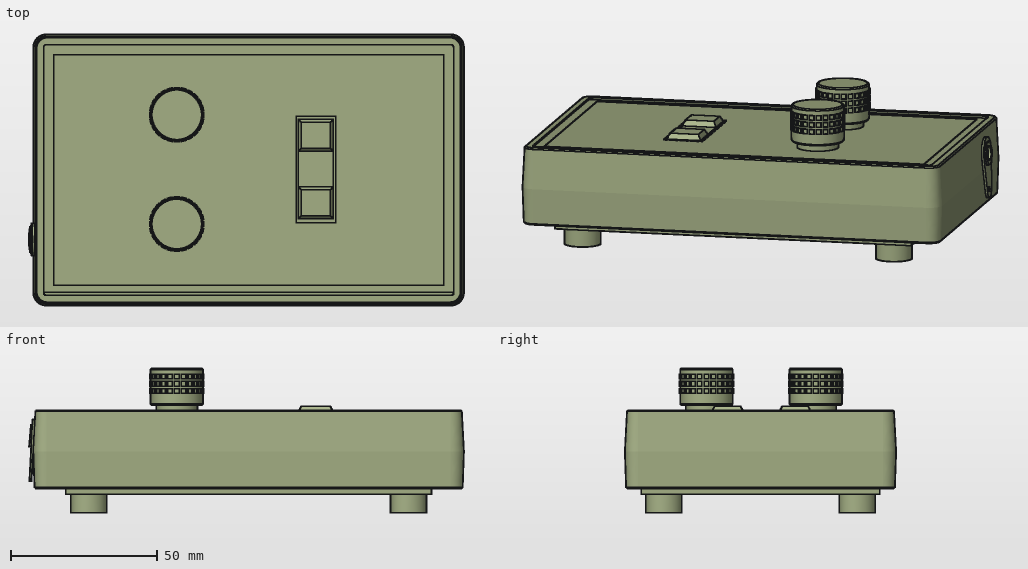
import cadquery as cq
import math

CASE_LENGTH = 147.5
CASE_WIDTH = 92.94
CASE_CORNER_RADIUS = 4.6
UPPER_HEIGHT = 14.25
LOWER_HEIGHT = 12.65
UPPER_DRAFT = 3.0
LOWER_DRAFT = 2.0
EDGE_CHAMFER = 0.5

RIM_INSET = 3.55
PANEL_RECESS_DEPTH = 0.5
PANEL_CORNER_RADIUS = CASE_CORNER_RADIUS - RIM_INSET
PANEL_GAP = 1.0
PANEL_GAP_DEPTH = 0.5
LABEL_INSET = 7.0
LABEL_DEPTH = 0.1

BASE_LENGTH = 125.3
BASE_WIDTH = 81.8
BASE_THICKNESS = 2.0
FOOT_DIAMETER = 12.45
FOOT_HEIGHT = 6.28
FOOT_SPACING_X = 109.5
FOOT_SPACING_Y = 66.2

SWITCH_X = 23.0
SWITCH_Y = 0.1
BEZEL_LENGTH = 36.5
BEZEL_WIDTH = 13.5
BEZEL_DEPTH = 0.3
ROCKER_LENGTH = 34.0
ROCKER_OFFSET_Y = 0.2
ROCKER_WIDTH = 12.0
PAD_LENGTH = 10.9
PAD_SLOPE = 1.0
PAD_RISE = 1.3

JACK_Y = -23.8
JACK_Z = 5.4
TAG_BIG_RADIUS = 5.6
TAG_SMALL_RADIUS = 3.0
TAG_LENGTH = 12.6
TAG_THICKNESS = 0.8
TAG_HOLE_DIAMETER = 1.52
NUT_ACROSS_FLATS = 7.6
NUT_THICKNESS = 0.6
NUT_TILT = 2.0
JACK_BORE_DIAMETER = 4.86
JACK_BORE_DEPTH = 1.0

KNOB_X = -24.6
KNOB_Y_POSITIONS = (18.9, -18.5)
KNOB_DIAMETER = 18.03
KNOB_TOP_Z = 28.6
KNOB_BOTTOM_Z = 15.85
KNOB_CHAMFER = 0.5
COLLAR_DIAMETER = 14.22
KNURL_HEIGHT = 0.3
KNURL_BOTTOM_Z = 20.0
KNURL_ROWS = 3
KNURL_COLUMNS = 24
KNURL_ROW_PITCH = 2.45
TOOTH_SIZE = 1.6

panel_length = CASE_LENGTH - 2 * RIM_INSET
panel_width = CASE_WIDTH - 2 * RIM_INSET
panel_z = UPPER_HEIGHT - PANEL_RECESS_DEPTH
label_z = panel_z - LABEL_DEPTH


def box_on(z, length, width, height):
    return cq.Workplane("XY").workplane(offset=z).rect(length, width).extrude(height)


def case_half(height, draft):
    outline = (
        cq.Sketch()
        .rect(CASE_LENGTH, CASE_WIDTH)
        .vertices()
        .fillet(CASE_CORNER_RADIUS)
    )
    half = cq.Workplane("XY").placeSketch(outline).extrude(height, taper=draft)
    return half.faces(">Z").chamfer(EDGE_CHAMFER)


def make_shell():
    upper = case_half(UPPER_HEIGHT, UPPER_DRAFT)
    lower = case_half(LOWER_HEIGHT, LOWER_DRAFT).mirror("XY")
    return upper.union(lower)


def cut_panel(case):
    recess = box_on(panel_z, panel_length, panel_width, PANEL_RECESS_DEPTH)
    recess = recess.edges("|Z").fillet(PANEL_CORNER_RADIUS)
    gap = box_on(panel_z - PANEL_GAP_DEPTH, panel_length, PANEL_GAP, PANEL_GAP_DEPTH)
    gap = gap.translate((0, (PANEL_GAP - panel_width) / 2, 0))
    label = box_on(label_z, CASE_LENGTH - 2 * LABEL_INSET, CASE_WIDTH - 2 * LABEL_INSET, LABEL_DEPTH)
    return case.cut(recess).cut(gap).cut(label)


def add_base(case):
    base = box_on(-LOWER_HEIGHT - BASE_THICKNESS, BASE_LENGTH, BASE_WIDTH, BASE_THICKNESS)
    feet = (
        cq.Workplane("XY")
        .workplane(offset=-LOWER_HEIGHT - BASE_THICKNESS)
        .rect(FOOT_SPACING_X, FOOT_SPACING_Y, forConstruction=True)
        .vertices()
        .circle(FOOT_DIAMETER / 2)
        .extrude(-FOOT_HEIGHT)
    )
    return case.union(base).union(feet)


def add_switch(case):
    bezel_z = label_z - BEZEL_DEPTH
    bezel = box_on(bezel_z, BEZEL_WIDTH, BEZEL_LENGTH, BEZEL_DEPTH)
    rocker = box_on(bezel_z, ROCKER_WIDTH, ROCKER_LENGTH, BEZEL_DEPTH)
    pad_height = UPPER_HEIGHT + PAD_RISE - label_z
    for side in (-1, 1):
        pad = (
            cq.Workplane("XY")
            .workplane(offset=label_z)
            .center(0, side * (ROCKER_LENGTH - PAD_LENGTH) / 2)
            .rect(ROCKER_WIDTH, PAD_LENGTH)
            .workplane(offset=pad_height)
            .rect(ROCKER_WIDTH - 2 * PAD_SLOPE, PAD_LENGTH - 2 * PAD_SLOPE)
            .loft()
        )
        rocker = rocker.union(pad)
    bezel = bezel.translate((SWITCH_X, SWITCH_Y, 0))
    rocker = rocker.translate((SWITCH_X, SWITCH_Y + ROCKER_OFFSET_Y, 0))
    return case.cut(bezel).union(rocker)


def jack_plane(origin, tilt):
    lean = math.radians(tilt)
    return cq.Plane(origin=origin, xDir=(0, -1, 0), normal=(-math.cos(lean), 0, math.sin(lean)))


def make_tag(wall):
    sine = (TAG_BIG_RADIUS - TAG_SMALL_RADIUS) / TAG_LENGTH
    cosine = math.sqrt(1 - sine**2)
    big_x = TAG_BIG_RADIUS * cosine
    big_y = -TAG_BIG_RADIUS * sine
    small_x = TAG_SMALL_RADIUS * cosine
    small_y = -TAG_LENGTH - TAG_SMALL_RADIUS * sine
    tag = (
        cq.Workplane(wall)
        .moveTo(-big_x, big_y)
        .threePointArc((0, TAG_BIG_RADIUS), (big_x, big_y))
        .lineTo(small_x, small_y)
        .threePointArc((0, -TAG_LENGTH - TAG_SMALL_RADIUS), (-small_x, small_y))
        .close()
        .extrude(TAG_THICKNESS)
    )
    hole = cq.Workplane(wall).center(0, -TAG_LENGTH).circle(TAG_HOLE_DIAMETER / 2).extrude(TAG_THICKNESS)
    return tag.cut(hole)


def add_jack(case):
    wall_x = -CASE_LENGTH / 2 + JACK_Z * math.tan(math.radians(UPPER_DRAFT))
    wall = jack_plane((wall_x, JACK_Y, JACK_Z), UPPER_DRAFT)
    tag_face = wall.toWorldCoords((0, 0, TAG_THICKNESS))
    nut_plane = jack_plane(tag_face, UPPER_DRAFT + NUT_TILT)
    nut_corners = NUT_ACROSS_FLATS / math.cos(math.pi / 6)
    nut = (
        cq.Workplane(nut_plane)
        .workplane(offset=-TAG_THICKNESS / 2)
        .polygon(6, nut_corners)
        .extrude(TAG_THICKNESS / 2 + NUT_THICKNESS)
    )
    bore = (
        cq.Workplane(wall)
        .workplane(offset=TAG_THICKNESS + NUT_THICKNESS - JACK_BORE_DEPTH)
        .circle(JACK_BORE_DIAMETER / 2)
        .extrude(2 * JACK_BORE_DEPTH)
    )
    return case.union(make_tag(wall)).union(nut).cut(bore)


def make_case():
    case = cut_panel(make_shell())
    return add_jack(add_switch(add_base(case)))


def make_knurl():
    inner = KNOB_DIAMETER / 2 - KNURL_HEIGHT
    tip = KNOB_DIAMETER / 2 + KNURL_HEIGHT
    rings = cq.Workplane("XY")
    for row in range(KNURL_ROWS):
        bottom = KNURL_BOTTOM_Z + row * KNURL_ROW_PITCH
        ring = cq.Workplane("XY").workplane(offset=bottom).circle(tip).circle(inner).extrude(TOOTH_SIZE)
        rings = rings.add(ring)
    groove_width = math.pi * KNOB_DIAMETER / KNURL_COLUMNS - TOOTH_SIZE
    groove_length = KNURL_ROWS * KNURL_ROW_PITCH
    groove = box_on(KNURL_BOTTOM_Z, 2 * KNURL_HEIGHT + tip, groove_width, groove_length)
    column_angle = 360 / KNURL_COLUMNS
    grooves = [
        groove.translate((tip, 0, 0)).rotate((0, 0, 0), (0, 0, 1), (column + 0.5) * column_angle).val()
        for column in range(KNURL_COLUMNS)
    ]
    return [tooth for ring in rings.vals() for tooth in ring.cut(*grooves).Solids()]


def make_knob():
    body = (
        cq.Workplane("XY")
        .workplane(offset=KNOB_BOTTOM_Z)
        .circle(KNOB_DIAMETER / 2)
        .extrude(KNOB_TOP_Z - KNOB_BOTTOM_Z)
        .faces("<Z or >Z")
        .chamfer(KNOB_CHAMFER)
    )
    collar = (
        cq.Workplane("XY")
        .workplane(offset=label_z)
        .circle(COLLAR_DIAMETER / 2)
        .extrude(KNOB_BOTTOM_Z - label_z)
    )
    return cq.Workplane(body.union(collar).val().fuse(*make_knurl()))


case = make_case()
knob = make_knob()
knobs = [knob.translate((KNOB_X, y, 0)).solids().val() for y in KNOB_Y_POSITIONS]

result = cq.Compound.makeCompound([case.solids().val(), *knobs])